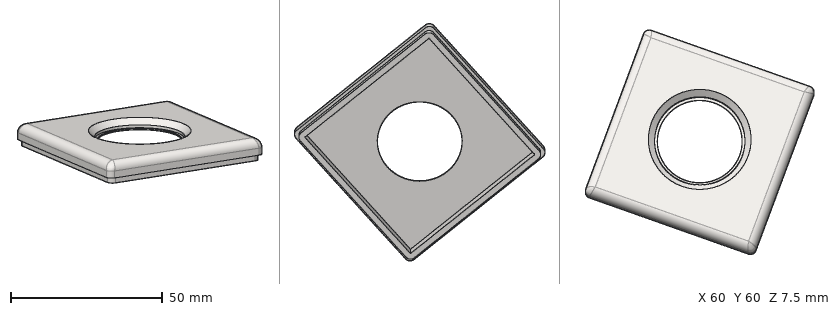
import cadquery as cq

side = 60.0
height = 7.5

skirt_height = 2.1
skirt_inset = 1.0
corner_radius = 2.0
top_edge_radius = 3.0
side_wall = 3.0
top_wall = 3.5

countersink_diameter = 34.0
bore_diameter = 29.95
lip_diameter = 28.0
countersink_depth = (countersink_diameter - bore_diameter) / 2
ledge_depth = 3.0


def square_block(width, block_height, top):
    """Upright square block centred on Z, with its top face at the given level."""
    return (
        cq.Workplane("XY")
        .workplane(offset=top - block_height)
        .rect(width, width)
        .extrude(block_height)
    )


def rounded_block(width, block_height, top):
    """Square block with rounded vertical corners."""
    return square_block(width, block_height, top).edges("|Z").fillet(corner_radius)


def opening_cutter():
    """Revolved profile of the stepped opening through the top wall."""
    return (
        cq.Workplane("XZ")
        .moveTo(0, 0)
        .lineTo(countersink_diameter / 2, 0)
        .lineTo(bore_diameter / 2, -countersink_depth)
        .lineTo(bore_diameter / 2, -ledge_depth)
        .lineTo(lip_diameter / 2, -ledge_depth)
        .lineTo(lip_diameter / 2, -height)
        .lineTo(0, -height)
        .close()
        .revolve(360, (0, 0, 0), (0, 1, 0))
    )


cover_height = height - skirt_height
cover = rounded_block(side, cover_height, 0).faces(">Z").edges().fillet(top_edge_radius)

skirt = rounded_block(side - 2 * skirt_inset, skirt_height, -cover_height)

cavity = square_block(side - 2 * side_wall, height - top_wall, -top_wall)

result = cover.union(skirt).cut(cavity).cut(opening_cutter())